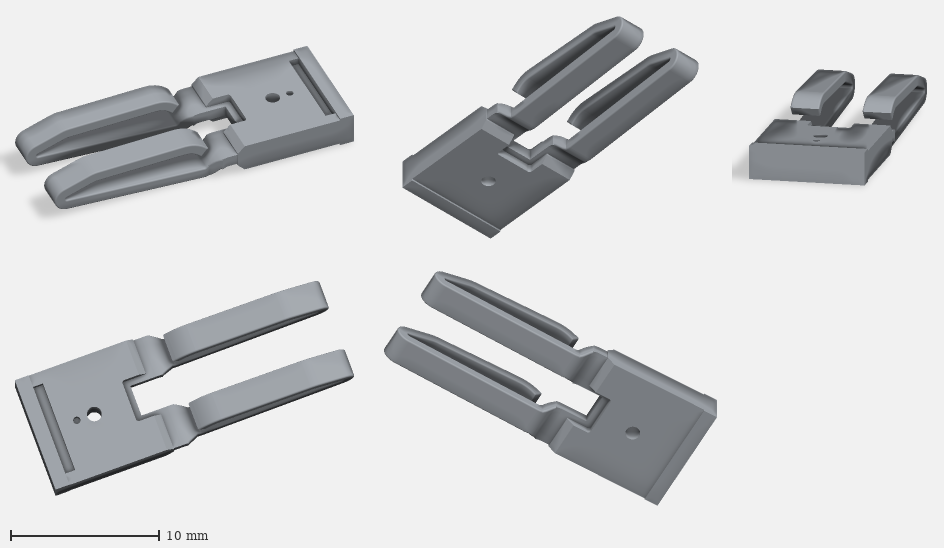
import cadquery as cq
import math

TOTAL_REACH = 21.7

BODY_WIDTH = 8.0
BODY_REACH = 8.5
BODY_HEIGHT = 2.02
NOSE_CHAMFER = 0.5
FLANGE_REACH = 1.0
FLANGE_HEIGHT = 2.3
NOTCH_BACK = 6.77
NOTCH_CORNER_RADIUS = 0.2
POCKET_WIDTH = 6.33
POCKET_LENGTH = 0.72
POCKET_DEPTH = 0.5
HOLE_DIAMETER = 1.0
HOLE_REACH = 4.25
PIN_HOLE_DIAMETER = 0.5
PIN_HOLE_REACH = 3.0
PIN_HOLE_DEPTH = 0.5

SHEET_THICKNESS = 0.78
SHEET_WIDTH = 7.9
SLOT_WIDTH = 2.17
SLOT_BACK = 7.25
SHEET_BACK = NOTCH_BACK - 0.5
PRONG_WIDTH = 2.0
PRONG_PITCH = 4.99
TAPER_START = 9.59
TAPER_END = 10.41
EDGE_ROUND = 0.1
NOTCH_WIDTH = PRONG_PITCH - PRONG_WIDTH

STEP_START = 9.09
STEP_SLOPE = 45.0
STEP_UPPER_RADIUS = 1.25
STEP_STRAIGHT = 0.45
STEP_LOWER_RADIUS = 0.59
LOWER_ARM_SLOPE = 2.8
TIP_RADIUS = 0.52
NOSE_SLOPE = 18.8
NOSE_LENGTH = 2.02
SHOULDER_RADIUS = 1.7
UPPER_ARM_SLOPE = 1.6
UPPER_ARM_LENGTH = 6.12
CREST_RADIUS = 10.85
HOOK_RADIUS = 1.8
HOOK_SLOPE = 40.0
HOOK_STRAIGHT = 0.35


def box(width, back, front, bottom, top):
    """Box centred on X, from reach `back` to reach `front`."""
    return cq.Workplane("XY").box(
        width, front - back, top - bottom, centered=(True, False, False)
    ).translate((0, -front, bottom))


def make_body():
    body = box(BODY_WIDTH, 0, BODY_REACH, -BODY_HEIGHT / 2, BODY_HEIGHT / 2)
    body = body.faces("<Y").edges("|X").chamfer(NOSE_CHAMFER)
    flange = box(BODY_WIDTH, 0, FLANGE_REACH, -FLANGE_HEIGHT / 2, FLANGE_HEIGHT / 2)

    notch = box(NOTCH_WIDTH, NOTCH_BACK, BODY_REACH, -BODY_HEIGHT / 2, BODY_HEIGHT / 2)
    notch = notch.faces(">Y").edges("|Z").fillet(NOTCH_CORNER_RADIUS)
    pocket = box(
        POCKET_WIDTH,
        FLANGE_REACH,
        FLANGE_REACH + POCKET_LENGTH,
        BODY_HEIGHT / 2 - POCKET_DEPTH,
        BODY_HEIGHT / 2,
    )
    return body.union(flange).cut(notch).cut(pocket)


def drill(part, diameter, reach, depth):
    """Drill straight down from the top face of the body."""
    top = cq.Workplane("XY", origin=(0, -reach, BODY_HEIGHT / 2))
    return part.cut(top.circle(diameter / 2).extrude(-depth))


class SheetPath:
    """Traces both faces of a bent sheet as (reach, height) points along its mid-plane."""

    def __init__(self, reach, height):
        self.reach = reach
        self.height = height
        self.heading = 0.0
        self.steps = [("start", None, self.face_points())]

    def face_points(self):
        angle = math.radians(self.heading)
        across = (-math.sin(angle) * SHEET_THICKNESS / 2, math.cos(angle) * SHEET_THICKNESS / 2)
        return [
            (self.reach + side * across[0], self.height + side * across[1])
            for side in (1, -1)
        ]

    def move(self, length):
        self.reach += length * math.cos(math.radians(self.heading))
        self.height += length * math.sin(math.radians(self.heading))

    def straight(self, length):
        self.move(length)
        self.steps.append(("line", None, self.face_points()))

    def half_bend(self, radius, half_turn):
        self.heading += half_turn / 2
        self.move(2 * radius * math.sin(math.radians(abs(half_turn) / 2)))
        self.heading += half_turn / 2
        return self.face_points()

    def bend(self, radius, new_heading):
        half_turn = (new_heading - self.heading) / 2
        middle = self.half_bend(radius, half_turn)
        self.steps.append(("bend", middle, self.half_bend(radius, half_turn)))

    def profile(self):
        """Closed outline: out along one face and back along the other."""

        def on_plane(point):
            return (-point[0], point[1])

        outline = cq.Workplane("YZ").moveTo(*on_plane(self.steps[0][2][0]))
        for kind, middle, end in self.steps[1:]:
            if kind == "bend":
                outline = outline.threePointArc(on_plane(middle[0]), on_plane(end[0]))
            else:
                outline = outline.lineTo(*on_plane(end[0]))
        outline = outline.lineTo(*on_plane(self.steps[-1][2][1]))
        for index in range(len(self.steps) - 1, 0, -1):
            kind, middle, _ = self.steps[index]
            target = on_plane(self.steps[index - 1][2][1])
            if kind == "bend":
                outline = outline.threePointArc(on_plane(middle[1]), target)
            else:
                outline = outline.lineTo(*target)
        return outline.close()


def bent_sheet():
    path = SheetPath(SHEET_BACK, 0)
    path.straight(STEP_START - SHEET_BACK)
    path.bend(STEP_UPPER_RADIUS, -STEP_SLOPE)
    path.straight(STEP_STRAIGHT)
    path.bend(STEP_LOWER_RADIUS, LOWER_ARM_SLOPE)

    slope = math.radians(LOWER_ARM_SLOPE)
    tip_centre = TOTAL_REACH - TIP_RADIUS - SHEET_THICKNESS / 2
    tip_bend_start = tip_centre + TIP_RADIUS * math.sin(slope)
    path.straight((tip_bend_start - path.reach) / math.cos(slope))

    path.bend(TIP_RADIUS, 180 - NOSE_SLOPE)
    path.straight(NOSE_LENGTH)
    path.bend(SHOULDER_RADIUS, 180 - UPPER_ARM_SLOPE)
    path.straight(UPPER_ARM_LENGTH)
    path.bend(CREST_RADIUS, 180)
    path.bend(HOOK_RADIUS, 180 + HOOK_SLOPE)
    path.straight(HOOK_STRAIGHT)
    return path.profile().extrude(SHEET_WIDTH / 2, both=True)


def prong_plan():
    """Plan outline of the +X prong, tapering from half the sheet down to the prong width."""
    centre = PRONG_PITCH / 2
    inner = centre - PRONG_WIDTH / 2
    outer = centre + PRONG_WIDTH / 2
    points = [
        (SLOT_WIDTH / 2, SLOT_BACK),
        (SLOT_WIDTH / 2, TAPER_START),
        (inner, TAPER_END),
        (inner, TOTAL_REACH),
        (outer, TOTAL_REACH),
        (outer, TAPER_END),
        (SHEET_WIDTH / 2, TAPER_START),
        (SHEET_WIDTH / 2, SLOT_BACK),
    ]
    outline = cq.Workplane("XY").polyline([(x, -reach) for x, reach in points]).close()
    return outline.extrude(TOTAL_REACH / 2, both=True)


def make_prong():
    prong = bent_sheet().intersect(prong_plan())

    def stretch(back, front):
        span = box(SHEET_WIDTH, back, front, -TOTAL_REACH / 2, TOTAL_REACH / 2)
        return prong.intersect(span)

    taper = stretch(TAPER_START, TAPER_END).edges("not (|X or |Z)").fillet(EDGE_ROUND)
    narrow = stretch(TAPER_END, TOTAL_REACH).edges("not (|X or |Z)").fillet(EDGE_ROUND)
    return stretch(SHEET_BACK, TAPER_START).union(taper).union(narrow)


def make_sheet():
    bridge = box(SHEET_WIDTH, SHEET_BACK, SLOT_BACK, -SHEET_THICKNESS / 2, SHEET_THICKNESS / 2)
    prong = make_prong()
    return bridge.union(prong).union(prong.mirror("YZ"))


result = make_body().union(make_sheet())
result = drill(result, HOLE_DIAMETER, HOLE_REACH, BODY_HEIGHT)
result = drill(result, PIN_HOLE_DIAMETER, PIN_HOLE_REACH, PIN_HOLE_DEPTH)